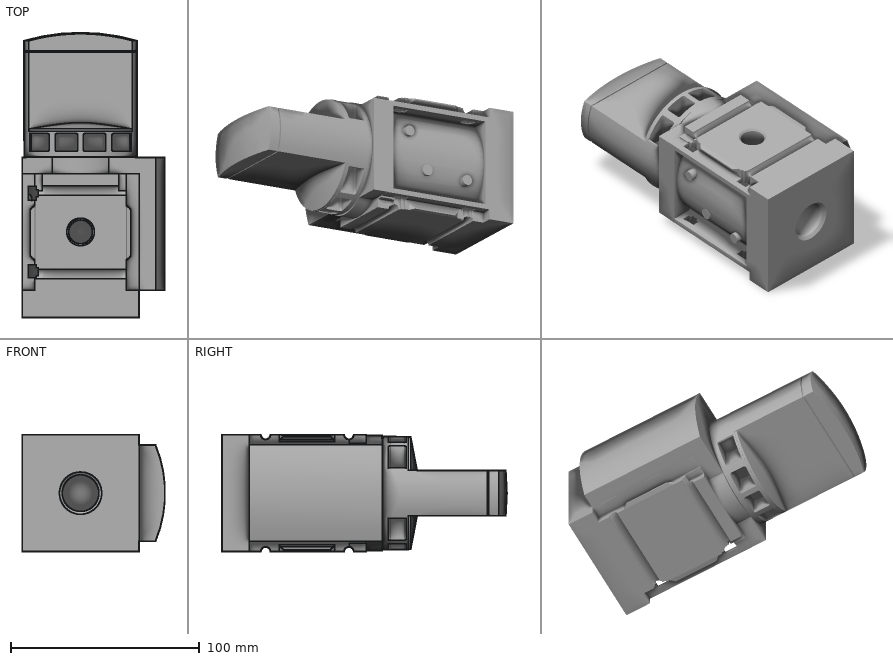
import cadquery as cq
import math


block_size = 62.0
half_block = block_size / 2
plate_depth = 14.45
block_rear = 76.3
flange_rear = 84.8

ledge_z = 25.6
face_half_width = 24.2

cover_z = 25.5
cover_edge_x = 39.7
cover_crown_x = 44.8
hub_crown_z = 30.6
hub_half_width = 15.0

notch_width = 4.0
notch_front = 67.3
notch_floor_z = 26.5

groove_radius = 2.5
groove_positions = (23.1, 67.2)

tab_front = 30.2
tab_rear = 59.7
tab_reach = 2.4
tab_wall_bottom = 27.2
tab_knee_x = 0.5
tab_knee_z = 28.3
tab_lip_bottom = 29.9
tab_lip_top = 30.6

slot_outer_x = -27.6
slot_shoulder_x = -23.4
slot_inner_x = -22.3
slot_spans = (
    ((21.2, 28.1), (22.3, 26.3)),
    ((62.1, 69.6), (63.9, 67.8)),
)

window_front = 16.9
window_rear = 72.8
window_half_height = 22.95
bowl_radius = 29.2
channel_radius = 1.2
channel_z = window_half_height - channel_radius
bowl_edge_z = channel_z - channel_radius
window_floor_x = -math.sqrt(bowl_radius**2 - bowl_edge_z**2)

pins = (
    (62.4, 11.0, 5.5, -30.3),
    (27.5, -11.0, 5.5, -30.3),
    (50.8, -8.6, 6.0, -28.8),
)

main_port_diameter = 19.4
main_port_mouth = 22.4
main_port_depth = 20.0
gauge_port_diameter = 12.6
gauge_port_mouth = 14.6
gauge_port_depth = 15.0
gauge_port_y = 45.4

knob_radius = 30.0
rim_radius = 29.8
neck_radius = 29.0
knob_front = 85.2
rim_front = 98.6
rim_rear = 99.9
cone_rear = 103.3
grip_half_height = 12.1
knob_edge_y = 146.6
knob_end = 150.9
parting_groove_y = 140.9
parting_groove_width = 0.8
parting_groove_depth = 0.5

cell_front = 88.0
cell_rear = 97.5
cell_floor = 13.4
inner_cell_x = (1.45, 13.4)
corner_cell_x = 16.6
cell_corner_radius = 1.0
corner_cell_sump_z = 9.0
corner_cell_lip = 0.75


def box(x_span, y_span, z_span):
    """Axis-aligned box from its lower and upper limits on each axis."""
    corner = (x_span[0], y_span[0], z_span[0])
    sizes = (x_span[1] - x_span[0], y_span[1] - y_span[0], z_span[1] - z_span[0])
    return cq.Workplane("XY").box(*sizes, centered=False).translate(corner)


def cylinder_along_y(radius, front, rear, x=0.0, z=0.0):
    base = cq.Workplane("XZ", origin=(x, front, z))
    return base.circle(radius).extrude(front - rear)


def symmetric(half):
    return (-half, half)


def make_block():
    plate = box(symmetric(half_block), (0, plate_depth), symmetric(half_block))
    core = box(symmetric(half_block), (plate_depth, block_rear), symmetric(ledge_z))
    faces = box(symmetric(face_half_width), (plate_depth, block_rear), symmetric(half_block))
    return plate.union(core).union(faces)


def make_flange_and_cover():
    flange = box(symmetric(half_block), (block_rear, flange_rear), symmetric(cover_z))
    hub = (
        cq.Workplane("XZ", origin=(0, block_rear, 0))
        .moveTo(-hub_half_width, -cover_z)
        .lineTo(-hub_half_width, cover_z)
        .threePointArc((0, hub_crown_z), (hub_half_width, cover_z))
        .lineTo(hub_half_width, -cover_z)
        .threePointArc((0, -hub_crown_z), (-hub_half_width, -cover_z))
        .close()
        .extrude(block_rear - flange_rear)
    )
    cover = (
        cq.Workplane("XZ", origin=(0, plate_depth, 0))
        .moveTo(half_block, -cover_z)
        .lineTo(cover_edge_x, -cover_z)
        .threePointArc((cover_crown_x, 0), (cover_edge_x, cover_z))
        .lineTo(half_block, cover_z)
        .close()
        .extrude(plate_depth - flange_rear)
    )
    return flange.union(hub).union(cover)


def make_tab():
    """Dovetail tab on the upper -X flank, with its ends bevelled at 45 degrees in plan."""
    wall_x = -face_half_width
    tip_x = wall_x - tab_reach
    section = (
        cq.Workplane("XZ", origin=(0, tab_front, 0))
        .polyline([
            (wall_x, half_block),
            (tip_x, tab_lip_top),
            (tip_x, tab_lip_bottom),
            (wall_x - tab_knee_x, tab_knee_z),
            (wall_x, tab_wall_bottom),
        ])
        .close()
        .extrude(tab_front - tab_rear)
    )
    plan = (
        cq.Workplane("XY", origin=(0, 0, ledge_z))
        .polyline([
            (wall_x, tab_front),
            (tip_x, tab_front + tab_reach),
            (tip_x, tab_rear - tab_reach),
            (wall_x, tab_rear),
        ])
        .close()
        .extrude(half_block - ledge_z)
    )
    return section.intersect(plan)


def add_tabs(body):
    upper_left = make_tab()
    for tab in (upper_left, upper_left.mirror("YZ")):
        body = body.union(tab).union(tab.mirror("XY"))
    return body


def cut_port_faces(body):
    """Cross grooves and rear corner notches on the top and bottom faces."""
    for y in groove_positions:
        groove = (
            cq.Workplane("YZ", origin=(-face_half_width, 0, 0))
            .pushPoints([(y, half_block), (y, -half_block)])
            .circle(groove_radius)
            .extrude(2 * face_half_width)
        )
        body = body.cut(groove)
    inner_x = face_half_width - notch_width
    for x_span in ((-face_half_width, -inner_x), (inner_x, face_half_width)):
        notch = box(x_span, (notch_front, block_rear), (notch_floor_z, half_block))
        body = body.cut(notch).cut(notch.mirror("XY"))
    return body


def cut_bowl_window(body):
    """Window in the -X side that bares the bowl, edged by two half-round channels."""
    y_span = (window_front, window_rear)
    window = box((-half_block, window_floor_x), y_span, symmetric(window_half_height))
    window = window.cut(cylinder_along_y(bowl_radius, *y_span))
    for z in symmetric(channel_z):
        window = window.union(cylinder_along_y(channel_radius, *y_span, x=window_floor_x, z=z))
    return body.cut(window)


def add_pins(body):
    for y, z, diameter, tip_x in pins:
        pin = (
            cq.Workplane("YZ", origin=(tip_x, y, z))
            .circle(diameter / 2)
            .extrude(window_floor_x - tip_x)
        )
        body = body.union(pin)
    return body


def cut_ledge_slots(body):
    """Shouldered slots through the top and bottom ledges into the bowl window."""
    for (front, rear), (inner_front, inner_rear) in slot_spans:
        slot = (
            cq.Workplane("XY", origin=(0, 0, channel_z))
            .polyline([
                (slot_outer_x, front),
                (slot_shoulder_x, front),
                (slot_shoulder_x, inner_front),
                (slot_inner_x, inner_front),
                (slot_inner_x, inner_rear),
                (slot_shoulder_x, inner_rear),
                (slot_shoulder_x, rear),
                (slot_outer_x, rear),
            ])
            .close()
            .extrude(half_block - channel_z)
        )
        slot = slot.cut(cylinder_along_y(bowl_radius, front, rear))
        body = body.cut(slot).cut(slot.mirror("XY"))
    return body


def make_port(diameter, mouth, depth):
    """Blind port along -Z from the origin, with a 45 degree countersunk mouth."""
    bevel = (mouth - diameter) / 2
    profile = cq.Workplane("XZ").polyline([
        (0, 0),
        (mouth / 2, 0),
        (diameter / 2, -bevel),
        (diameter / 2, -depth),
        (0, -depth),
    ])
    return profile.close().revolve(360, (0, 0, 0), (0, 1, 0))


def cut_ports(body):
    gauge_port = make_port(gauge_port_diameter, gauge_port_mouth, gauge_port_depth)
    main_port = make_port(main_port_diameter, main_port_mouth, main_port_depth)
    body = body.cut(gauge_port.translate((0, gauge_port_y, half_block)))
    return body.cut(main_port.rotate((0, 0, 0), (1, 0, 0), 90))


def cut_grip_windows(knob):
    """Four windows above and below the grip.

    The outer two also open to the side and sink below their sill behind a thin lip.
    """
    y_span = (cell_front, cell_rear)
    z_span = (cell_floor, knob_radius)
    inner = box(inner_cell_x, y_span, z_span).edges("|Z").fillet(cell_corner_radius)
    opening = box((corner_cell_x, knob_radius), y_span, z_span)
    opening = opening.edges("|Z and <X").fillet(cell_corner_radius)
    sump = box((corner_cell_x, knob_radius), y_span, (corner_cell_sump_z, cell_floor))
    sump = sump.edges("|Z and <X").fillet(cell_corner_radius)
    sump = sump.intersect(cylinder_along_y(knob_radius - corner_cell_lip, *y_span))
    corner = opening.union(sump)
    for cell in (inner, corner):
        for half in (cell, cell.mirror("YZ")):
            knob = knob.cut(half).cut(half.mirror("XY"))
    return knob


def make_ring():
    """Neck, round ring and shallow cone at the foot of the grip."""
    profile = cq.Workplane("XY").polyline([
        (0, flange_rear),
        (neck_radius, flange_rear),
        (neck_radius, knob_front),
        (knob_radius, knob_front),
        (knob_radius, rim_front),
        (rim_radius, rim_front),
        (rim_radius, rim_rear),
        (grip_half_height, cone_rear),
        (0, cone_rear),
    ])
    return profile.close().revolve(360, (0, 0, 0), (0, 1, 0))


def make_parting_groove():
    """Shallow groove all around the grip, below its domed end."""
    half_width = parting_groove_width / 2
    y_span = (parting_groove_y - half_width, parting_groove_y + half_width)
    core_half_height = grip_half_height - parting_groove_depth
    core_slab = box(symmetric(knob_radius), y_span, symmetric(core_half_height))
    core = cylinder_along_y(knob_radius - parting_groove_depth, *y_span).intersect(core_slab)
    return box(symmetric(knob_radius), y_span, symmetric(knob_radius)).cut(core)


def make_grip():
    """Flat grip: a domed cylinder sliced to a slab."""
    dome_rise = knob_end - knob_edge_y
    dome_radius = (knob_radius**2 + dome_rise**2) / (2 * dome_rise)
    mid_x = knob_radius / 2
    dome_mid_y = knob_end - dome_radius + math.sqrt(dome_radius**2 - mid_x**2)
    cylinder = (
        cq.Workplane("XY")
        .moveTo(0, rim_front)
        .lineTo(knob_radius, rim_front)
        .lineTo(knob_radius, knob_edge_y)
        .threePointArc((mid_x, dome_mid_y), (0, knob_end))
        .close()
        .revolve(360, (0, 0, 0), (0, 1, 0))
    )
    slab = box(symmetric(knob_radius), (rim_front, knob_end), symmetric(grip_half_height))
    return cylinder.intersect(slab).cut(make_parting_groove())


def make_knob():
    return cut_grip_windows(make_ring().union(make_grip()))


body = make_block()
body = cut_port_faces(body)
body = add_tabs(body)
body = body.union(make_flange_and_cover())
body = cut_bowl_window(body)
body = cut_ledge_slots(body)
body = add_pins(body)
body = cut_ports(body)
result = body.union(make_knob())